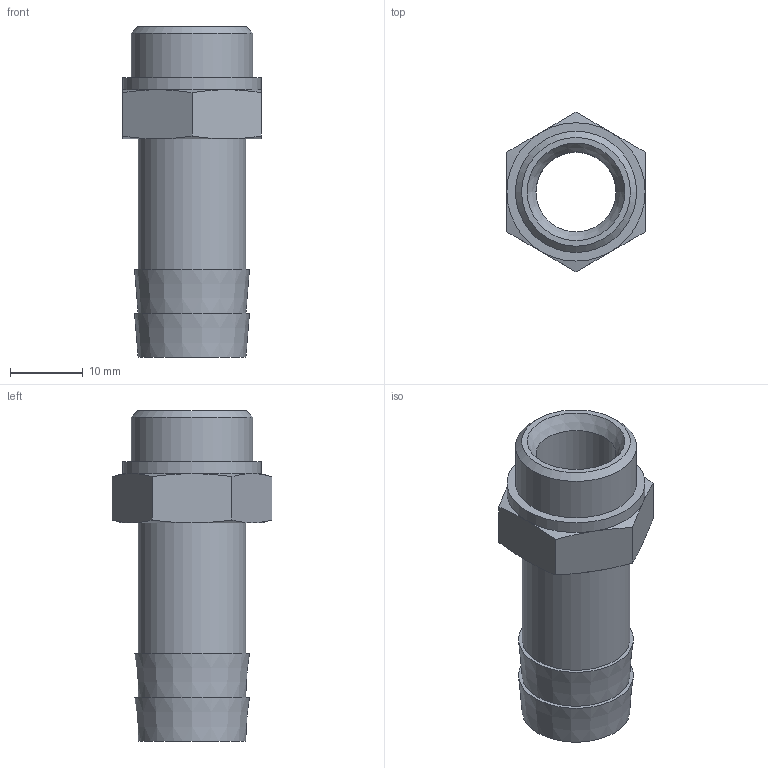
import cadquery as cq
import math

total_length = 45.4
barb_length = 6.05
barb_count = 2
hex_bottom = 30.0
hex_height = 6.75
collar_height = 1.65

bore_diameter = 11.0
tube_diameter = 14.8
barb_crest_diameter = 15.8
thread_diameter = 16.66
collar_diameter = 19.0
hex_across_flats = 19.0

thread_chamfer = 0.855
seat_diameter = 13.4
seat_half_angle = 30.0
hex_chamfer_angle = 15.0

hex_sides = 6
half_hex_sector = 180 / hex_sides
hex_top = hex_bottom + hex_height
collar_top = hex_top + collar_height
hex_across_corners = hex_across_flats / math.cos(math.radians(half_hex_sector))


def cylinder(diameter, bottom, top):
    """Round section on the Z axis between two heights."""
    return cq.Workplane("XY").workplane(offset=bottom).circle(diameter / 2).extrude(top - bottom)


def make_barb(bottom):
    """Hose barb that widens upward as a cone to a sharp crest."""
    root_radius = tube_diameter / 2
    crest_radius = barb_crest_diameter / 2
    top = bottom + barb_length
    return (
        cq.Workplane("XZ")
        .moveTo(0, bottom)
        .lineTo(root_radius, bottom)
        .lineTo(crest_radius, top)
        .lineTo(0, top)
        .close()
        .revolve()
    )


def make_hex():
    """Wrench hexagon, flats facing +X and -X, with corners turned down at both ends."""
    prism = (
        cq.Workplane("XY")
        .workplane(offset=hex_bottom)
        .polygon(hex_sides, hex_across_corners)
        .extrude(hex_height)
        .rotate((0, 0, 0), (0, 0, 1), half_hex_sector)
    )
    flat_radius = hex_across_flats / 2
    corner_radius = hex_across_corners / 2
    corner_drop = (corner_radius - flat_radius) * math.tan(math.radians(hex_chamfer_angle))
    turned_envelope = (
        cq.Workplane("XZ")
        .moveTo(0, hex_bottom)
        .lineTo(flat_radius, hex_bottom)
        .lineTo(corner_radius, hex_bottom + corner_drop)
        .lineTo(corner_radius, hex_top - corner_drop)
        .lineTo(flat_radius, hex_top)
        .lineTo(0, hex_top)
        .close()
        .revolve()
    )
    return prism.intersect(turned_envelope)


def make_threaded_end():
    """Plain thread cylinder above the collar, chamfered at the free end."""
    end = cylinder(thread_diameter, collar_top, total_length)
    return end.faces(">Z").edges().chamfer(thread_chamfer)


def make_bore():
    """Through bore opening into a conical seat at the threaded end."""
    bore_radius = bore_diameter / 2
    seat_radius = seat_diameter / 2
    seat_depth = (seat_radius - bore_radius) / math.tan(math.radians(seat_half_angle))
    return (
        cq.Workplane("XZ")
        .lineTo(bore_radius, 0)
        .lineTo(bore_radius, total_length - seat_depth)
        .lineTo(seat_radius, total_length)
        .lineTo(0, total_length)
        .close()
        .revolve()
    )


body = cylinder(tube_diameter, 0, hex_bottom)
for index in range(barb_count):
    body = body.union(make_barb(index * barb_length))
body = body.union(make_hex())
body = body.union(cylinder(collar_diameter, hex_top, collar_top))
body = body.union(make_threaded_end())
result = body.cut(make_bore())